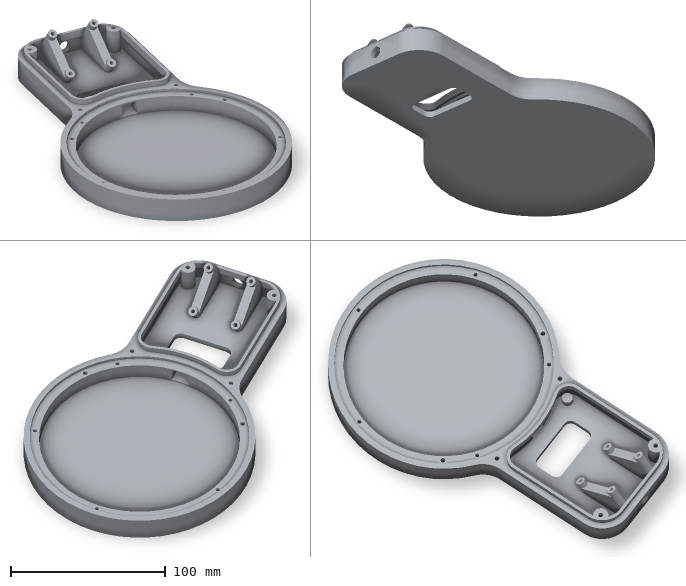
import cadquery as cq
import math


total_length = 235.1
total_height = 30.5
dish_radius = 75.0
handle_end = dish_radius - total_length
handle_width = 80
corner_radius = 20.0
neck_radius = 20.0
body_height = 16.0

recess_radius = 130.0 / 2
recess_floor = 3.0
ledge_radius = 142.0 / 2
ledge_depth = 2.0
ledge_z = body_height - ledge_depth

wall_thickness = 4.0
inner_corner_radius = 9.9
pocket_floor = 4.0
lip_thickness = 1.0
lip_z = body_height - lip_thickness
rim_width = 2.0
rim_height = 4.0
rim_top = body_height + rim_height

window_length = 20.0
window_width = 40
window_corner_radius = 5.0
window_x = handle_end + 65.1

screw_diameter = 3.0
small_screw_diameter = 2.5
screw_depth = 9.9
ring_radius = 68.0
ring_hole_count = 5
side_screw_angle = math.radians(125)
neck_screw_x = handle_end + 92.9
neck_screw_y = 35.0

boss_diameter = 9.9
boss_x = handle_end + 13.6
boss_y = 30.5
pin_diameter = 7
pin_x = handle_end + 83.0
pin_y = -29.5
pin_height = 5.0

post_diameter = 6.0
post_spacing = 30.0
post_tilt = math.radians(35)
post_top_x = handle_end + 16.2
post_top_z = total_height - post_diameter / 2 * math.sin(post_tilt)
post_length = 2 * total_height
web_drop = 4.0

cable_hole_diameter = 8.0
cable_hole_z = 9.0
passage_width = 11.8
passage_height = 9.0


def level(z):
    """Horizontal work plane at height z."""
    return cq.Workplane("XY", origin=(0, 0, z))


def mirrored(x, y):
    """A point and its mirror image across the XZ plane."""
    return [(x, y), (x, -y)]


def cylinders(points, diameter, bottom, top):
    return level(bottom).pushPoints(points).circle(diameter / 2).extrude(top - bottom)


def make_body():
    """Dish disc and handle, blended by a concave arc on each side of the neck."""
    half_width = handle_width / 2
    neck_y = half_width + neck_radius
    neck_distance = dish_radius + neck_radius
    neck_x = -math.sqrt(neck_distance**2 - neck_y**2)
    blend_x = neck_x * dish_radius / neck_distance
    blend_y = neck_y * dish_radius / neck_distance
    middle_angle = (-math.pi / 2 + math.atan2(-neck_y, -neck_x)) / 2
    middle_x = neck_x + neck_radius * math.cos(middle_angle)
    middle_y = neck_y + neck_radius * math.sin(middle_angle)
    return (
        level(0)
        .moveTo(handle_end, -half_width)
        .lineTo(neck_x, -half_width)
        .threePointArc((middle_x, -middle_y), (blend_x, -blend_y))
        .threePointArc((dish_radius, 0), (blend_x, blend_y))
        .threePointArc((middle_x, middle_y), (neck_x, half_width))
        .lineTo(handle_end, half_width)
        .close()
        .extrude(body_height)
        .edges("|Z and <X")
        .fillet(corner_radius)
    )


def compartment_block(bottom, top, shrink=0):
    """Compartment-shaped prism, bounded on the dish side by an arc around the dish axis."""
    inset = wall_thickness + shrink
    left = handle_end + inset
    block = level(bottom).center(left / 2, 0).rect(-left, handle_width - 2 * inset).extrude(top - bottom)
    dish_side = level(bottom).circle(dish_radius + shrink).extrude(top - bottom)
    return (
        block.cut(dish_side)
        .edges("|Z and <X")
        .fillet(corner_radius - inset)
        .edges("|Z and >X")
        .fillet(inner_corner_radius - shrink)
    )


def make_recess():
    bore = level(recess_floor).circle(recess_radius).extrude(body_height - recess_floor)
    ledge = level(ledge_z).circle(ledge_radius).extrude(body_height - ledge_z)
    return bore.union(ledge)


def make_window():
    return (
        level(0)
        .center(window_x, 0)
        .rect(window_length, window_width)
        .extrude(pocket_floor)
        .edges("|Z")
        .fillet(window_corner_radius)
    )


def make_cable_hole():
    return (
        cq.Workplane("YZ", origin=(handle_end, 0, cable_hole_z))
        .circle(cable_hole_diameter / 2)
        .extrude(wall_thickness)
    )


def make_passage():
    """Slot from the compartment into the dish recess, under the ledge."""
    reach = dish_radius + rim_width
    return level(pocket_floor).center(-reach / 2, 0).rect(reach, passage_width).extrude(passage_height)


def make_post_pair(y):
    """Two parallel tilted posts with a web between their axes and a blind hole in each."""
    sine = math.sin(post_tilt)
    cosine = math.cos(post_tilt)
    tops = cq.Workplane(
        cq.Plane(origin=(post_top_x, y, post_top_z), xDir=(cosine, 0, -sine), normal=(sine, 0, cosine))
    )
    centers = [(0, 0), (post_spacing, 0)]
    posts = tops.pushPoints(centers).circle(post_diameter / 2).extrude(-post_length)
    web = (
        tops.workplane(offset=-web_drop)
        .center(post_spacing / 2, 0)
        .rect(post_spacing, post_diameter)
        .extrude(-post_length)
    )
    holes = tops.pushPoints(centers).circle(small_screw_diameter / 2).extrude(-screw_depth)
    return posts.union(web).cut(holes).intersect(compartment_block(pocket_floor, total_height))


opening = compartment_block(lip_z, rim_top, shrink=rim_width)
result = (
    make_body()
    .union(compartment_block(body_height, rim_top))
    .cut(compartment_block(pocket_floor, lip_z))
    .cut(opening)
    .cut(make_recess())
    .cut(make_window())
    .cut(make_cable_hole())
    .cut(make_passage())
)

boss_points = mirrored(boss_x, boss_y)
bosses = cylinders(boss_points, boss_diameter, pocket_floor, rim_top)
pin = cylinders([(pin_x, pin_y)], pin_diameter, pocket_floor, pocket_floor + pin_height)
inserts = bosses.union(pin).intersect(compartment_block(pocket_floor, rim_top))
result = result.union(inserts)
for side in (-1, 1):
    result = result.union(make_post_pair(side * post_spacing / 2))

ring_points = []
for index in range(ring_hole_count):
    angle = 2 * math.pi * index / ring_hole_count
    ring_points.append((ring_radius * math.cos(angle), ring_radius * math.sin(angle)))
side_points = mirrored(ring_radius * math.cos(side_screw_angle), ring_radius * math.sin(side_screw_angle))
neck_points = mirrored(neck_screw_x, neck_screw_y)

result = (
    result.cut(cylinders(boss_points, screw_diameter, rim_top - screw_depth, rim_top))
    .cut(cylinders(ring_points, small_screw_diameter, ledge_z - screw_depth, ledge_z))
    .cut(cylinders(side_points, screw_diameter, ledge_z - screw_depth, ledge_z))
    .cut(cylinders(neck_points, screw_diameter, body_height - screw_depth, body_height))
)